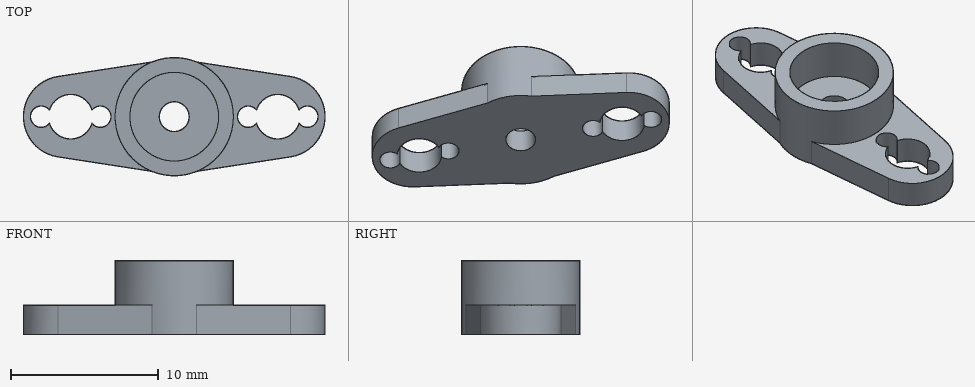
import cadquery as cq
import math

length = 20.4
plate_thickness = 2.0
end_radius = 2.75
end_center_x = length / 2 - end_radius
flank_root_x = 1.51

collar_diameter = 8.0
total_height = 5.0
bore_diameter = 6.0
shaft_hole_diameter = 2.0

mount_x = 7.0
mount_diameter = 3.0
side_hole_diameter = 1.43
side_hole_offset = 2.0


def tapered_plate():
    """Plate with rounded ends and straight flanks tangent to the end arcs."""
    root_y = math.sqrt((collar_diameter / 2) ** 2 - flank_root_x ** 2)
    run = end_center_x - flank_root_x
    distance = math.hypot(run, root_y)
    tangent_angle = math.pi - math.atan2(root_y, run) - math.acos(end_radius / distance)
    tangent_x = end_center_x + end_radius * math.cos(tangent_angle)
    tangent_y = end_radius * math.sin(tangent_angle)
    return (
        cq.Workplane("XY")
        .moveTo(-flank_root_x, root_y)
        .lineTo(flank_root_x, root_y)
        .lineTo(tangent_x, tangent_y)
        .threePointArc((length / 2, 0), (tangent_x, -tangent_y))
        .lineTo(flank_root_x, -root_y)
        .lineTo(-flank_root_x, -root_y)
        .lineTo(-tangent_x, -tangent_y)
        .threePointArc((-length / 2, 0), (-tangent_x, tangent_y))
        .close()
        .extrude(plate_thickness)
    )


def cylinder(diameter, height, x=0, base_z=0):
    """Upright cylinder on the plate's long axis."""
    return cq.Workplane("XY", origin=(x, 0, base_z)).circle(diameter / 2).extrude(height)


def mounting_hole(x):
    """Three overlapping through holes in a row."""
    hole = cylinder(mount_diameter, plate_thickness, x)
    for offset in (-side_hole_offset, side_hole_offset):
        hole = hole.union(cylinder(side_hole_diameter, plate_thickness, x + offset))
    return hole


result = tapered_plate().union(cylinder(collar_diameter, total_height))

bore_depth = total_height - plate_thickness
result = result.cut(cylinder(bore_diameter, bore_depth, base_z=plate_thickness))
result = result.cut(cylinder(shaft_hole_diameter, plate_thickness))

for side in (-1, 1):
    result = result.cut(mounting_hole(side * mount_x))